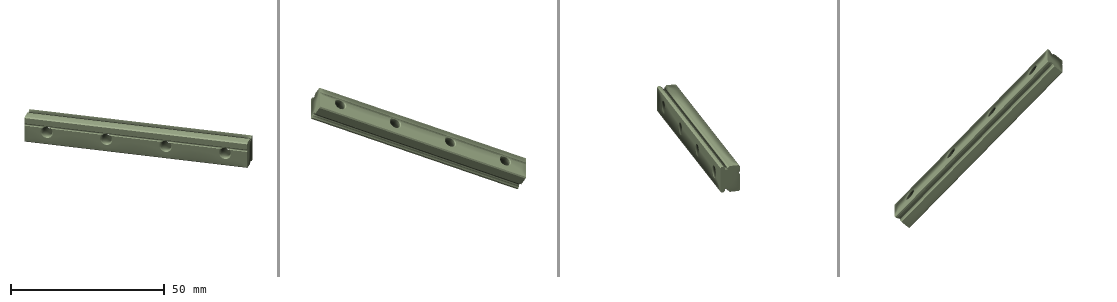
import cadquery as cq
import math

length = 75.0
width = 6.5
height = 9.0
edge_chamfer = 0.4

groove_from_back = 2.0
groove_mouth = 2.0
raceway_radius = 1.1
slot_width = 0.8
slot_depth = 1.1

marker_from_top = 2.7
marker_depth = 0.2
marker_radius = 0.45

hole_count = 4
hole_end_distance = 7.5
hole_pitch = (length - 2 * hole_end_distance) / (hole_count - 1)
hole_diameter = 3.5
countersink = 0.3


def make_bar():
    return cq.Workplane("XY").box(length, width, height).edges("|X").chamfer(edge_chamfer)


def make_rod(y, z, radius):
    """Cylinder along the full length of the rail."""
    return cq.Workplane("YZ").center(y, z).circle(radius).extrude(length / 2, both=True)


def make_top_groove():
    """Circular raceway with a square relief slot, cut into the top face."""
    center_y = width / 2 - groove_from_back
    top = height / 2
    center_rise = math.sqrt(raceway_radius**2 - (groove_mouth / 2) ** 2)
    raceway = make_rod(center_y, top + center_rise, raceway_radius)
    slot = cq.Workplane("XY").box(length, slot_width, 2 * slot_depth).translate((0, center_y, top))
    return raceway.union(slot)


def make_marker_groove():
    center_y = -width / 2 + marker_depth - marker_radius
    return make_rod(center_y, height / 2 - marker_from_top, marker_radius)


def make_hole(x):
    """Through hole along Y whose ends widen at 45 degrees."""
    radius = hole_diameter / 2
    half_width = width / 2
    profile = [
        (0, -half_width),
        (radius + countersink, -half_width),
        (radius, -half_width + countersink),
        (radius, half_width - countersink),
        (radius + countersink, half_width),
        (0, half_width),
    ]
    hole = cq.Workplane("XY").polyline(profile).close().revolve(360, (0, 0), (0, 1))
    return hole.translate((x, 0, 0))


top_groove = make_top_groove()
result = make_bar().cut(top_groove).cut(top_groove.mirror("XY")).cut(make_marker_groove())
for index in range(hole_count):
    result = result.cut(make_hole(-length / 2 + hole_end_distance + index * hole_pitch))